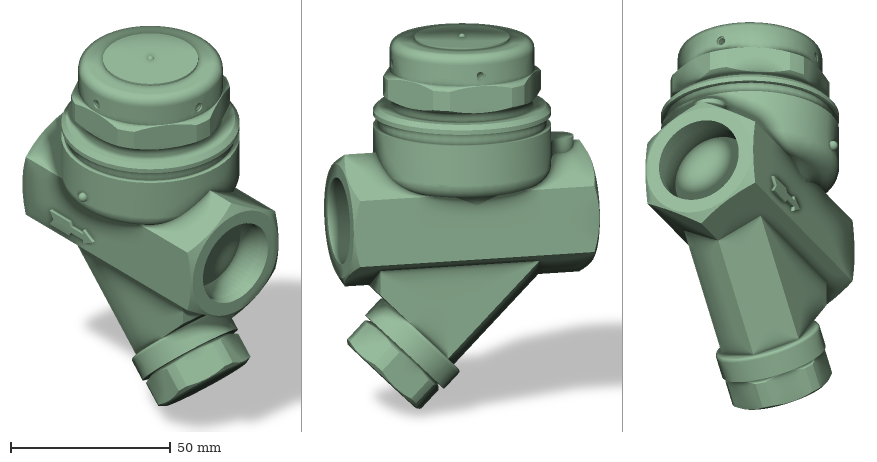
import cadquery as cq
import math


pipe_length = 80.0
pipe_flats = 37.0
pipe_end_face_diameter = 36.0
bore_diameter = 27.4
bore_depth = 12.8

bowl_diameter = 56.0
bowl_bottom_z = 10.8
bowl_fillet = 5.0
bowl_top_z = 28.5
root_fillet = 4.0
groove_diameter = 53.0
groove_top_z = 32.2
flange_top_z = 35.0
flange_chamfer = 1.4

lug_radius = 4.9
lug_reach = 36.1
lug_top_z = 23.2
lug_fillet = 3.1

stud_diameter = 3.0
stud_z = 17.6
stud_projection = 1.9
stud_reach = bowl_diameter / 2 + stud_projection

arrow_tail_x = -25.7
arrow_notch_x = -23.9
arrow_shoulder_x = -16.4
arrow_shaft_x = -15.6
arrow_head_x = -10.0
arrow_tip_x = -5.5
arrow_z = -5.4
arrow_half_height = 2.5
arrow_shaft_half_height = 1.1
arrow_height = 1.1

leg_axis_offset = 17.8
leg_end = 36.5
leg_width = 26.3
leg_corner_reach = 14.9
leg_side_x = 30.0

plug_diameter = 34.0
plug_ring_length = 7.7
plug_ring_fillet = 1.0
plug_hex_flats = 30.0
plug_hex_corner_diameter = 32.9
plug_hex_length = 10.4
plug_hex_start_diameter = 28.1
plug_hex_end_diameter = 29.3

neck_diameter = 45.1
neck_waist_diameter = 43.9
neck_top_z = 37.5
cap_hex_flats = 45.8
cap_hex_corner_diameter = 50.0
cap_hex_top_z = 46.5
cover_diameter = 45.5
cover_top_z = 56.4
cover_fillet = 3.0
plate_diameter = 30.0
plate_thickness = 0.7
rivet_diameter = 2.2
rivet_top_z = 58.0
dimple_diameter = 3.0
dimple_z = 49.7
dimple_seat_diameter = 2.3
dimple_depth = 0.6
dimple_count = 4

corner_slope = math.tan(math.radians(30))


def hexagon_corner_diameter(flats):
    return flats / math.cos(math.radians(30))


def chamfered_hexagon(plane, flats, length, start_diameter, end_diameter, corner_diameter):
    """Hexagonal bar with a corner along the plane's X, its corners turned down by end cones."""
    start_depth = (corner_diameter - start_diameter) / 2 * corner_slope
    end_depth = (corner_diameter - end_diameter) / 2 * corner_slope
    bar = cq.Workplane(plane).polygon(6, hexagon_corner_diameter(flats)).extrude(length)
    turned_outline = [
        (0, 0),
        (start_diameter / 2, 0),
        (corner_diameter / 2, start_depth),
        (corner_diameter / 2, length - end_depth),
        (end_diameter / 2, length),
        (0, length),
    ]
    return bar.intersect(turned(plane, turned_outline))


def turned(plane, outline):
    """Revolve an outline of (radius, height) points about the normal of a plane."""
    section = cq.Plane(origin=plane.origin, xDir=plane.xDir, normal=plane.yDir * -1)
    return cq.Workplane(section).polyline(outline).close().revolve(360, (0, 0, 0), (0, 1, 0))


def make_pipe():
    plane = cq.Plane(origin=(-pipe_length / 2, 0, 0), xDir=(0, 0, 1), normal=(1, 0, 0))
    return chamfered_hexagon(
        plane,
        pipe_flats,
        pipe_length,
        pipe_end_face_diameter,
        pipe_end_face_diameter,
        hexagon_corner_diameter(pipe_flats),
    )


def make_bowl():
    """Bowl with its flange, and the concave root that joins it to the pipe."""
    bowl_radius = bowl_diameter / 2
    root_radius = pipe_flats / 2
    bend = math.sqrt(0.5)
    return (
        cq.Workplane("XZ")
        .moveTo(0, 0)
        .lineTo(root_radius, 0)
        .lineTo(root_radius, bowl_bottom_z - root_fillet)
        .threePointArc(
            (root_radius + root_fillet * (1 - bend), bowl_bottom_z - root_fillet * (1 - bend)),
            (root_radius + root_fillet, bowl_bottom_z),
        )
        .lineTo(bowl_radius - bowl_fillet, bowl_bottom_z)
        .threePointArc(
            (bowl_radius - bowl_fillet * (1 - bend), bowl_bottom_z + bowl_fillet * (1 - bend)),
            (bowl_radius, bowl_bottom_z + bowl_fillet),
        )
        .lineTo(bowl_radius, bowl_top_z)
        .lineTo(groove_diameter / 2, bowl_top_z)
        .lineTo(groove_diameter / 2, groove_top_z)
        .lineTo(bowl_radius, groove_top_z)
        .lineTo(bowl_radius, flange_top_z - flange_chamfer)
        .lineTo(bowl_radius - flange_chamfer, flange_top_z)
        .lineTo(0, flange_top_z)
        .close()
        .revolve(360, (0, 0, 0), (0, 1, 0))
    )


def make_lug():
    """Round-ended lug whose sides flare into the bowl wall with concave arcs."""
    bowl_radius = bowl_diameter / 2
    flare_y = lug_radius + lug_fillet
    flare_x = -math.sqrt((bowl_radius + lug_fillet) ** 2 - flare_y**2)
    wall_scale = bowl_radius / (bowl_radius + lug_fillet)
    wall_x = flare_x * wall_scale
    wall_y = flare_y * wall_scale
    flare_angle = math.atan2(-wall_y + flare_y, wall_x - flare_x)
    middle_angle = (flare_angle + math.pi / 2) / 2
    middle_x = flare_x + lug_fillet * math.cos(middle_angle)
    middle_y = flare_y - lug_fillet * math.sin(middle_angle)
    return (
        cq.Workplane("XY")
        .moveTo(0, wall_y)
        .lineTo(wall_x, wall_y)
        .threePointArc((middle_x, middle_y), (flare_x, lug_radius))
        .lineTo(lug_radius - lug_reach, lug_radius)
        .threePointArc((-lug_reach, 0), (lug_radius - lug_reach, -lug_radius))
        .lineTo(flare_x, -lug_radius)
        .threePointArc((middle_x, -middle_y), (wall_x, -wall_y))
        .lineTo(0, -wall_y)
        .close()
        .extrude(lug_top_z - bowl_bottom_z)
        .translate((0, 0, bowl_bottom_z))
    )


def make_stud():
    radius = stud_diameter / 2
    plane = cq.Plane(origin=(0, 0, stud_z), xDir=(1, 0, 0), normal=(0, -1, 0))
    shank = cq.Workplane(plane).circle(radius).extrude(stud_reach - radius)
    tip = cq.Workplane("XY").sphere(radius).translate((0, radius - stud_reach, stud_z))
    return shank.union(tip)


def make_arrow():
    upper = [
        (arrow_tail_x, arrow_half_height),
        (arrow_shoulder_x, arrow_half_height),
        (arrow_shaft_x, arrow_shaft_half_height),
        (arrow_head_x, arrow_shaft_half_height),
        (arrow_head_x, arrow_half_height),
    ]
    lower = [(x, -z) for x, z in reversed(upper)]
    outline = upper + [(arrow_tip_x, 0)] + lower + [(arrow_notch_x, 0)]
    plane = cq.Plane(origin=(0, -pipe_flats / 2, arrow_z), xDir=(1, 0, 0), normal=(0, -1, 0))
    return cq.Workplane(plane).polyline(outline).close().extrude(arrow_height)


def leg_plane(distance):
    """Plane across the leg axis, with X pointing up and towards +X."""
    along = (distance - leg_axis_offset) / math.sqrt(2)
    down = (distance + leg_axis_offset) / math.sqrt(2)
    return cq.Plane(origin=(along, 0, -down), xDir=(1, 0, 1), normal=(1, 0, -1))


def make_leg():
    """Leg with a V-shaped underside, filled solid up to the pipe and cut off square in X."""
    half_width = leg_width / 2
    shoulder = leg_corner_reach - half_width * corner_slope
    section = [
        (-leg_corner_reach, 0),
        (-shoulder, half_width),
        (pipe_length, half_width),
        (pipe_length, -half_width),
        (-shoulder, -half_width),
    ]
    prism_length = 2 * pipe_length
    prism = cq.Workplane(leg_plane(leg_end - prism_length)).polyline(section).close()
    prism = prism.extrude(prism_length)
    top_z = -hexagon_corner_diameter(pipe_flats) / 4
    room = cq.Workplane("XY").box(2 * pipe_length, leg_width, 2 * pipe_length)
    return prism.intersect(room.translate((leg_side_x - pipe_length, 0, top_z - pipe_length)))


def make_plug():
    ring = cq.Workplane(leg_plane(leg_end)).circle(plug_diameter / 2).extrude(plug_ring_length)
    ring = ring.faces("<(1, 0, -1)").edges().fillet(plug_ring_fillet)
    head = chamfered_hexagon(
        leg_plane(leg_end + plug_ring_length),
        plug_hex_flats,
        plug_hex_length,
        plug_hex_start_diameter,
        plug_hex_end_diameter,
        plug_hex_corner_diameter,
    )
    return ring.union(head)


def make_bores():
    drill = cq.Workplane("YZ").circle(bore_diameter / 2).extrude(bore_depth)
    inlet = drill.translate((-pipe_length / 2, 0, 0))
    outlet = drill.translate((pipe_length / 2 - bore_depth, 0, 0))
    return inlet.union(outlet)


def make_body():
    body = make_pipe().union(make_bowl()).union(make_lug()).union(make_stud())
    body = body.union(make_leg()).union(make_plug()).union(make_arrow())
    return body.cut(make_bores())


def make_neck():
    """Waisted neck between the flange and the cap hexagon."""
    middle_z = (flange_top_z + neck_top_z) / 2
    return (
        cq.Workplane("XZ")
        .moveTo(0, flange_top_z)
        .lineTo(neck_diameter / 2, flange_top_z)
        .threePointArc((neck_waist_diameter / 2, middle_z), (neck_diameter / 2, neck_top_z))
        .lineTo(0, neck_top_z)
        .close()
        .revolve(360, (0, 0, 0), (0, 1, 0))
    )


def make_cover():
    cover = cq.Workplane("XY").workplane(offset=cap_hex_top_z).circle(cover_diameter / 2)
    cover = cover.extrude(cover_top_z - cap_hex_top_z).faces(">Z").edges().fillet(cover_fillet)
    plate = cq.Workplane("XY").workplane(offset=cover_top_z).circle(plate_diameter / 2)
    plate = plate.extrude(plate_thickness)
    rivet_radius = rivet_diameter / 2
    rivet = cq.Workplane("XY").sphere(rivet_radius).translate((0, 0, rivet_top_z - rivet_radius))
    return cover.union(plate).union(rivet)


def make_dimple():
    """Shallow hole in the +X side of the cover with a smaller half-round seat in its floor."""
    floor_x = cover_diameter / 2 - dimple_depth
    hole = cq.Workplane("YZ").circle(dimple_diameter / 2).extrude(cover_diameter / 2)
    seat = cq.Workplane("XY").sphere(dimple_seat_diameter / 2)
    return hole.union(seat).translate((floor_x, 0, dimple_z))


def make_cap():
    head = chamfered_hexagon(
        cq.Plane(origin=(0, 0, neck_top_z), xDir=(1, 0, 0), normal=(0, 0, 1)),
        cap_hex_flats,
        cap_hex_top_z - neck_top_z,
        neck_diameter,
        cover_diameter,
        cap_hex_corner_diameter,
    )
    cap = make_neck().union(head).union(make_cover())
    for index in range(dimple_count):
        cap = cap.cut(make_dimple().rotate((0, 0, 0), (0, 0, 1), index * 360 / dimple_count))
    return cap


body = make_body()
cap = make_cap()

result = cq.Compound.makeCompound([*body.solids().vals(), *cap.solids().vals()])